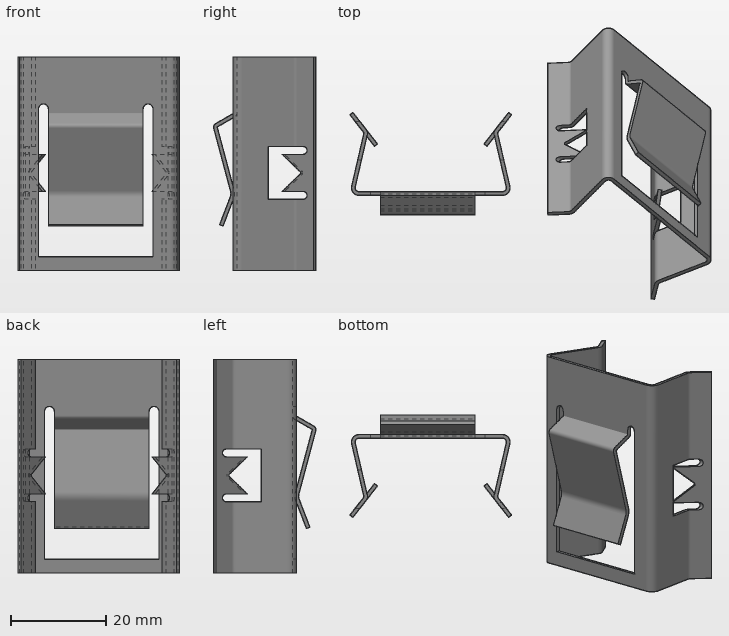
import cadquery as cq
import math

height = 45.0
sheet = 0.8
bend_inside = 0.8
panel_flat_half = 15.08
leg_lean = 13.0
leg_length = 11.1
flare_angle = 38.0
flare_length = 4.4

tongue_center_x = -0.65
tongue_width = 20.0
slot_width = 2.02
window_bottom = 2.95
window_top = 35.05
tongue_root = 33.08
crease_inside = 0.05
peak_inside = 0.1
valley_inside = 2.0
arm_drop = 30.0
blade_lean = 15.0
tip_lean = 21.0
arm_length = 4.2
blade_length = 13.7
tip_length = 6.25

leg_window_bottom = 15.05
leg_window_top = 26.1
leg_window_front = 7.45
relief_width = 1.6
relief_end = 15.55
tab_length = 4.0
notch_ahead = 0.85
notch_root_width = 0.35


def direction(angle):
    return cq.Vector(math.cos(math.radians(angle)), math.sin(math.radians(angle)))


def bent_strip(plane, start, heading, steps, width):
    """Extrude a sheet whose midline follows ("line", length) and ("bend", turn, inside radius) steps.

    Positive turns go left. Returns the solid, the end of the midline and its heading.
    """
    point = cq.Vector(*start)
    left = []
    right = []

    def side(position, angle, sign):
        return position + direction(angle + 90) * (sign * sheet / 2)

    first_left = side(point, heading, 1)
    first_right = side(point, heading, -1)
    for kind, amount, *inside in steps:
        if kind == "line":
            point = point + direction(heading) * amount
            left.append((None, side(point, heading, 1)))
            right.append((None, side(point, heading, -1)))
            continue
        sign = math.copysign(1, amount)
        radius = inside[0] + sheet / 2
        center = point + direction(heading + 90) * (sign * radius)

        def on_bend(turn):
            return center - direction(heading + turn + 90) * (sign * radius)

        middle = heading + amount / 2
        end = heading + amount
        for edge, edge_sign in ((left, 1), (right, -1)):
            edge.append((side(on_bend(amount / 2), middle, edge_sign), side(on_bend(amount), end, edge_sign)))
        point = on_bend(amount)
        heading = end

    targets = [first_right] + [target for _, target in right]
    way_back = [(via, target) for (via, _), target in zip(reversed(right), reversed(targets[:-1]))]
    outline = cq.Workplane(plane).moveTo(first_left.x, first_left.y)
    for via, target in left + [(None, targets[-1])] + way_back:
        if via is None:
            outline = outline.lineTo(target.x, target.y)
        else:
            outline = outline.threePointArc((via.x, via.y), (target.x, target.y))
    return outline.close().extrude(width), point, heading


def leg_window():
    """Opening around the tab: a square front edge and a round-ended relief at each side of the tab."""
    relief_straight_end = relief_end - relief_width / 2
    low_middle = leg_window_bottom + relief_width / 2
    high_middle = leg_window_top - relief_width / 2
    tab_low = leg_window_bottom + relief_width
    tab_high = leg_window_top - relief_width
    return (
        cq.Workplane("YZ")
        .moveTo(leg_window_front, leg_window_bottom)
        .lineTo(relief_straight_end, leg_window_bottom)
        .threePointArc((relief_end, low_middle), (relief_straight_end, tab_low))
        .lineTo(relief_straight_end, tab_high)
        .threePointArc((relief_end, high_middle), (relief_straight_end, leg_window_top))
        .lineTo(leg_window_front, leg_window_top)
        .close()
        .extrude(2 * panel_flat_half)
    )


def toothed_tab(lip_start, lip_heading):
    """Flat tab in the lip plane, with its V notch cut square to the sheet."""
    low = leg_window_bottom + relief_width
    high = leg_window_top - relief_width
    middle = (low + high) / 2
    half_root = notch_root_width / 2
    joint = flare_length / 2
    along = direction(lip_heading)
    normal = direction(lip_heading - 90)
    origin = lip_start - normal * (sheet / 2)
    plane = cq.Plane(origin=origin.toTuple(), xDir=along.toTuple(), normal=normal.toTuple())
    return (
        cq.Workplane(plane)
        .polyline([
            (joint, low), (-tab_length, low),
            (notch_ahead, middle - half_root), (notch_ahead, middle + half_root),
            (-tab_length, high), (joint, high),
        ])
        .close()
        .extrude(sheet)
    )


def half_body():
    """Right half: panel, leg, lip and toothed tab."""
    to_lip = [
        ("line", panel_flat_half),
        ("bend", 90 + leg_lean, bend_inside),
        ("line", leg_length),
        ("bend", -(leg_lean + flare_angle), bend_inside),
    ]
    lip = [("line", flare_length)]
    start = (0, sheet / 2)
    body, _, _ = bent_strip("XY", start, 0, to_lip + lip, height)
    _, lip_start, lip_heading = bent_strip("XY", start, 0, to_lip, height)
    return body.cut(leg_window()).union(toothed_tab(lip_start, lip_heading))


def tongue_window():
    """Opening of the panel: square at the bottom, one round-topped slot at each side of the tongue."""
    opening_width = tongue_width + 2 * slot_width
    slot_straight_top = window_top - slot_width / 2
    left = -opening_width / 2
    tongue_left = -tongue_width / 2
    return (
        cq.Workplane("XZ", origin=(tongue_center_x, sheet, 0))
        .moveTo(left, window_bottom)
        .lineTo(left, slot_straight_top)
        .threePointArc((left + slot_width / 2, window_top), (tongue_left, slot_straight_top))
        .lineTo(tongue_left, tongue_root)
        .lineTo(-tongue_left, tongue_root)
        .lineTo(-tongue_left, slot_straight_top)
        .threePointArc((-left - slot_width / 2, window_top), (-left, slot_straight_top))
        .lineTo(-left, window_bottom)
        .close()
        .extrude(sheet)
    )


def tongue():
    steps = [
        ("line", window_top - tongue_root),
        ("bend", 90 - arm_drop, crease_inside),
        ("line", arm_length),
        ("bend", -(90 - arm_drop + blade_lean), peak_inside),
        ("line", blade_length),
        ("bend", blade_lean + tip_lean, valley_inside),
        ("line", tip_length),
    ]
    right_edge = tongue_center_x + tongue_width / 2
    plane = cq.Plane(origin=(right_edge, 0, 0), xDir=(0, -1, 0), normal=(-1, 0, 0))
    strip, _, _ = bent_strip(plane, (-sheet / 2, window_top), -90, steps, tongue_width)
    return strip


right_half = half_body()
body = right_half.union(right_half.mirror("YZ"))
result = body.cut(tongue_window()).union(tongue())